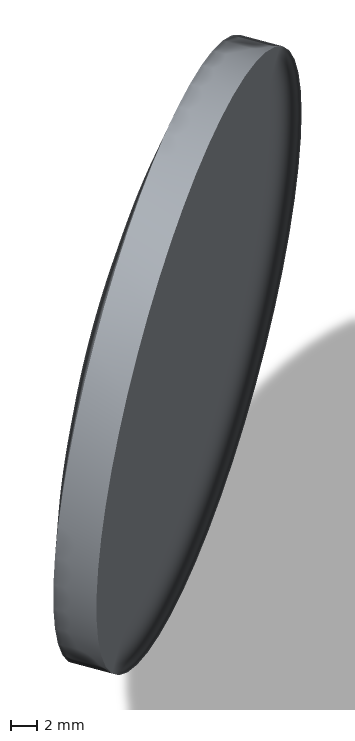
import cadquery as cq
import math

diameter = 50.0
total_thickness = 7.15
rim_thickness = 3.5

radius = diameter / 2
dome_height = total_thickness - rim_thickness
sphere_radius = (radius**2 + dome_height**2) / (2 * dome_height)

half_angle = math.asin(radius / sphere_radius) / 2
arc_middle = (sphere_radius * (1 - math.cos(half_angle)), sphere_radius * math.sin(half_angle))

half_section = (
    cq.Workplane("XY")
    .moveTo(0, 0)
    .threePointArc(arc_middle, (dome_height, radius))
    .lineTo(total_thickness, radius)
    .lineTo(total_thickness, 0)
    .close()
)
result = half_section.revolve(360, (0, 0, 0), (1, 0, 0))